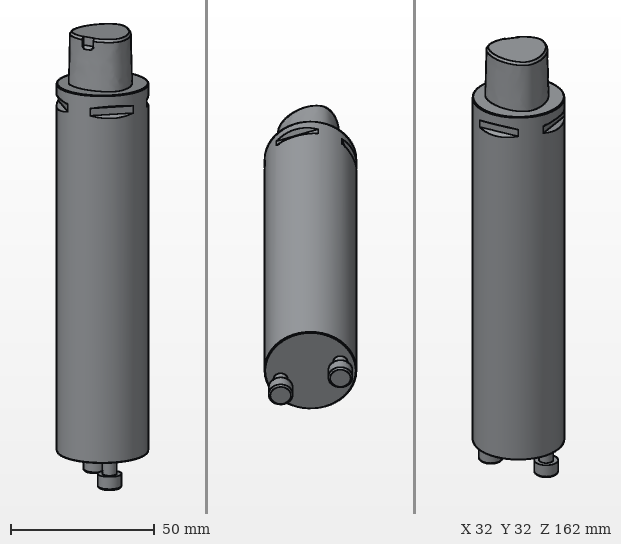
import cadquery as cq
import math

TOTAL_HEIGHT = 162.0
SHANK_HEIGHT = 18.6
BODY_DIAMETER = 32.0
BODY_CHAMFER = 0.3

SCREW_DIAMETER = 5.0
HEAD_DIAMETER = 8.5
HEAD_HEIGHT = 5.0
HEAD_CHAMFER = 0.6
NECK_LENGTH = 5.2
SCREW_OFFSET = 7.8

SHANK_WIDTH = 22.2
LOBE_HEIGHT = 0.73
SHANK_TAPER = 0.05
SHANK_CHAMFER_HEIGHT = 1.0
SHANK_CHAMFER_INSET = 0.6
PROFILE_POINTS = 48

NOTCH_WIDTH = 4.5
NOTCH_HEIGHT = 4.2
NOTCH_DEPTH = 0.5
NOTCH_LEDGE_RISE = 1.1
NOTCH_CORNER = 1.0

GROOVE_DEPTH = 2.0
GROOVE_FLOOR_HEIGHT = 2.6
GROOVE_FLANK_ANGLE = 25.0
GROOVE_BELOW_FLANGE = 6.2
GROOVE_COUNT = 4

body_bottom = HEAD_HEIGHT + NECK_LENGTH
body_top = TOTAL_HEIGHT - SHANK_HEIGHT
body_radius = BODY_DIAMETER / 2


def make_body():
    return (
        cq.Workplane("XY", origin=(0, 0, body_bottom))
        .circle(body_radius)
        .extrude(body_top - body_bottom)
        .edges()
        .chamfer(BODY_CHAMFER)
    )


def make_screw(x, y):
    head = (
        cq.Workplane("XY", origin=(x, y, 0))
        .circle(HEAD_DIAMETER / 2)
        .extrude(HEAD_HEIGHT)
        .faces("<Z")
        .edges()
        .chamfer(HEAD_CHAMFER)
    )
    neck = (
        cq.Workplane("XY", origin=(x, y, HEAD_HEIGHT))
        .circle(SCREW_DIAMETER / 2)
        .extrude(NECK_LENGTH)
    )
    return head.union(neck)


def lobed_wire(width, z):
    """Closed constant-width outline with three lobes, one pointing along +Y."""
    points = []
    for i in range(PROFILE_POINTS):
        angle = math.pi / 2 + 2 * math.pi * i / PROFILE_POINTS
        phase = 3 * (angle - math.pi / 2)
        support = width / 2 + LOBE_HEIGHT * math.cos(phase)
        slope = -3 * LOBE_HEIGHT * math.sin(phase)
        x = support * math.cos(angle) - slope * math.sin(angle)
        y = support * math.sin(angle) + slope * math.cos(angle)
        points.append(cq.Vector(x, y, z))
    return cq.Wire.assembleEdges([cq.Edge.makeSpline(points, periodic=True)])


def make_notch(top_edge_y):
    """Notch cutter, open at the top and toward -Y, with a sloped ledge and bevelled lower corners."""
    floor_y = top_edge_y + NOTCH_DEPTH
    mouth_y = top_edge_y - SHANK_CHAMFER_INSET - SHANK_TAPER * NOTCH_HEIGHT / 2
    bottom_z = TOTAL_HEIGHT - NOTCH_HEIGHT
    half_width = NOTCH_WIDTH / 2
    side_profile = (
        cq.Workplane("YZ")
        .polyline([
            (floor_y, TOTAL_HEIGHT),
            (floor_y, bottom_z + NOTCH_LEDGE_RISE),
            (mouth_y, bottom_z),
            (-body_radius, bottom_z),
            (-body_radius, TOTAL_HEIGHT),
        ])
        .close()
        .extrude(half_width, both=True)
    )
    front_profile = (
        cq.Workplane("XZ")
        .polyline([
            (-half_width, TOTAL_HEIGHT),
            (-half_width, bottom_z + NOTCH_CORNER),
            (NOTCH_CORNER - half_width, bottom_z),
            (half_width - NOTCH_CORNER, bottom_z),
            (half_width, bottom_z + NOTCH_CORNER),
            (half_width, TOTAL_HEIGHT),
        ])
        .close()
        .extrude(body_radius)
    )
    return side_profile.intersect(front_profile)


def make_shank():
    shoulder = TOTAL_HEIGHT - SHANK_CHAMFER_HEIGHT
    shoulder_width = SHANK_WIDTH - SHANK_TAPER * (shoulder - body_top)
    top_width = shoulder_width - 2 * SHANK_CHAMFER_INSET
    base_wire = lobed_wire(SHANK_WIDTH, body_top)
    shoulder_wire = lobed_wire(shoulder_width, shoulder)
    top_wire = lobed_wire(top_width, TOTAL_HEIGHT)
    cone = cq.Solid.makeLoft([base_wire, shoulder_wire], True)
    tip = cq.Solid.makeLoft([shoulder_wire, top_wire], True)

    notch = make_notch(LOBE_HEIGHT - top_width / 2)
    return cq.Workplane(cone).union(cq.Workplane(tip)).cut(notch)


def make_groove(angle):
    """Straight trapezoidal groove that widens outward, cut across the body rim."""
    floor_x = body_radius - GROOVE_DEPTH
    half_floor = GROOVE_FLOOR_HEIGHT / 2
    half_mouth = half_floor + GROOVE_DEPTH * math.tan(math.radians(GROOVE_FLANK_ANGLE))
    return (
        cq.Workplane("XZ", origin=(0, 0, body_top - GROOVE_BELOW_FLANGE))
        .polyline([
            (floor_x, -half_floor),
            (floor_x, half_floor),
            (body_radius, half_mouth),
            (body_radius, -half_mouth),
        ])
        .close()
        .extrude(body_radius, both=True)
        .rotate((0, 0, 0), (0, 0, 1), angle)
    )


result = make_body().union(make_shank())
for i in range(GROOVE_COUNT):
    result = result.cut(make_groove(45 + i * 360 / GROOVE_COUNT))

for side in (-1, 1):
    result = result.union(make_screw(side * SCREW_OFFSET, -side * SCREW_OFFSET))